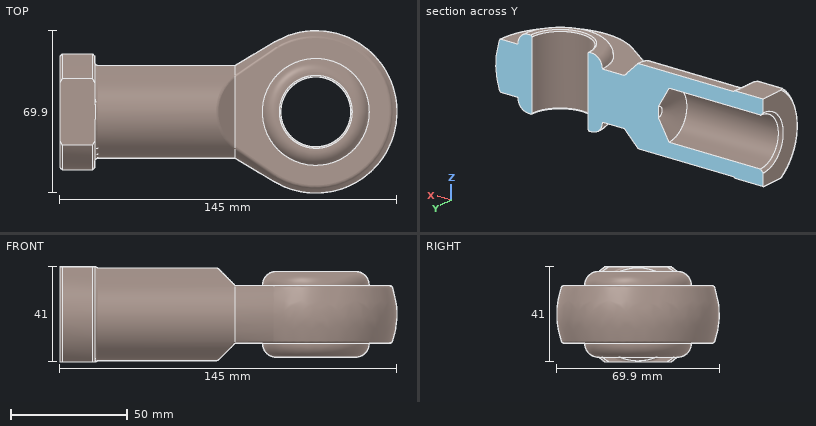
import cadquery as cq
import math

EYE_TO_END = 110.0
EYE_RADIUS = 35.0
EYE_THICKNESS = 25.0
EYE_CROWN = 2.3
FACE_EDGE_FILLET = 1.5

SHANK_DIAMETER = 40.0
SHANK_END_X = -34.7
SHOULDER_ANGLE = 45.0

COLLAR_DIAMETER = 50.0
COLLAR_LENGTH = 15.0
COLLAR_FLATS = 41.0
COLLAR_CHAMFER = 1.0
COLLAR_ROOT_FILLET = 1.4

BORE_DIAMETER = 25.0
BORE_MOUTH_DIAMETER = 28.0
BORE_DEPTH = 51.0
BORE_TIP_DIAMETER = 5.0
BORE_TIP_ANGLE = 120.0

RING_DIAMETER = 46.0
RING_WIDTH = 37.0
RING_BORE_DIAMETER = 30.0
RING_BORE_CHAMFER = 0.7

TOLERANCE = 0.001

EYE_HALF = EYE_THICKNESS / 2
RIM_RADIUS = EYE_RADIUS - EYE_CROWN
SHANK_RADIUS = SHANK_DIAMETER / 2
SHOULDER_RUN = (SHANK_RADIUS - EYE_HALF) / math.tan(math.radians(SHOULDER_ANGLE))
SHOULDER_START_X = SHANK_END_X - SHOULDER_RUN
COLLAR_RADIUS = COLLAR_DIAMETER / 2
BORE_RADIUS = BORE_DIAMETER / 2
END_X = -EYE_TO_END
COLLAR_INNER_X = END_X + COLLAR_LENGTH
RING_HALF = RING_WIDTH / 2
RING_EDGE_RADIUS = RING_HALF - EYE_HALF

CORNER_DISTANCE = math.hypot(SHANK_END_X, SHANK_RADIUS)
CORNER_ANGLE = math.atan2(SHANK_RADIUS, SHANK_END_X)
TANGENT_ANGLE = CORNER_ANGLE - math.acos(EYE_RADIUS / CORNER_DISTANCE)
TANGENT_X = EYE_RADIUS * math.cos(TANGENT_ANGLE)


def make_head():
    """Crowned disc, cut off square where the flanks touch its rim."""
    disc = (
        cq.Workplane("XZ")
        .moveTo(0, -EYE_HALF)
        .lineTo(RIM_RADIUS, -EYE_HALF)
        .threePointArc((EYE_RADIUS, 0), (RIM_RADIUS, EYE_HALF))
        .lineTo(0, EYE_HALF)
        .close()
        .revolve(360, (0, 0, 0), (0, 1, 0))
    )
    kept_length = EYE_RADIUS - TANGENT_X
    kept_side = (
        cq.Workplane("XY")
        .box(kept_length, 2 * EYE_RADIUS, EYE_THICKNESS, centered=(False, True, True))
        .translate((TANGENT_X, 0, 0))
    )
    return disc.intersect(kept_side)


def make_flanks(head):
    """Straight-ruled blend from the cut face of the head to the round shank."""
    shank_edge = math.sqrt(SHANK_RADIUS**2 - EYE_HALF**2)
    shank_section = (
        cq.Workplane("YZ")
        .workplane(offset=SHANK_END_X)
        .moveTo(-shank_edge, -EYE_HALF)
        .lineTo(shank_edge, -EYE_HALF)
        .threePointArc((SHANK_RADIUS, 0), (shank_edge, EYE_HALF))
        .lineTo(-shank_edge, EYE_HALF)
        .threePointArc((-SHANK_RADIUS, 0), (-shank_edge, -EYE_HALF))
        .close()
    )
    head_section = head.faces("<X").val().outerWire()
    return cq.Workplane(cq.Solid.makeLoft([head_section, shank_section.val()], True))


def make_shank():
    """Round bar whose end slopes down to the eye faces above and below."""
    bar = cq.Workplane("YZ").workplane(offset=END_X).circle(SHANK_RADIUS).extrude(SHANK_END_X - END_X)
    side_outline = (
        cq.Workplane("XZ")
        .polyline([
            (END_X, -SHANK_RADIUS),
            (SHOULDER_START_X, -SHANK_RADIUS),
            (SHANK_END_X, -EYE_HALF),
            (SHANK_END_X, EYE_HALF),
            (SHOULDER_START_X, SHANK_RADIUS),
            (END_X, SHANK_RADIUS),
        ])
        .close()
        .extrude(SHANK_RADIUS, both=True)
    )
    return bar.intersect(side_outline)


def make_collar():
    """Chamfered collar with a concave rounding to the shank and two wrench flats."""
    disc = (
        cq.Workplane("YZ")
        .workplane(offset=END_X)
        .circle(COLLAR_RADIUS)
        .extrude(COLLAR_LENGTH)
        .edges()
        .chamfer(COLLAR_CHAMFER)
    )

    root_radius = SHANK_RADIUS + COLLAR_ROOT_FILLET
    root_end_x = COLLAR_INNER_X + COLLAR_ROOT_FILLET
    root = (
        cq.Workplane("XY")
        .moveTo(COLLAR_INNER_X, 0)
        .lineTo(COLLAR_INNER_X, root_radius)
        .radiusArc((root_end_x, SHANK_RADIUS), -COLLAR_ROOT_FILLET)
        .lineTo(root_end_x, 0)
        .close()
        .revolve(360, (0, 0, 0), (1, 0, 0))
    )

    flats = (
        cq.Workplane("XY")
        .box(root_end_x - END_X, COLLAR_DIAMETER, COLLAR_FLATS, centered=(False, True, True))
        .translate((END_X, 0, 0))
    )
    return disc.union(root).intersect(flats)


def make_shank_bore():
    """Blind bore from the open end, with a chamfered mouth and a truncated conical bottom."""
    mouth_radius = BORE_MOUTH_DIAMETER / 2
    tip_radius = BORE_TIP_DIAMETER / 2
    cone_length = (BORE_RADIUS - tip_radius) / math.tan(math.radians(BORE_TIP_ANGLE / 2))
    bottom_x = END_X + BORE_DEPTH
    return (
        cq.Workplane("XY")
        .polyline([
            (END_X, 0),
            (END_X, mouth_radius),
            (END_X + mouth_radius - BORE_RADIUS, BORE_RADIUS),
            (bottom_x, BORE_RADIUS),
            (bottom_x + cone_length, tip_radius),
            (bottom_x + cone_length, 0),
        ])
        .close()
        .revolve(360, (0, 0, 0), (1, 0, 0))
    )


def make_ring():
    """Inner ring standing proud of both eye faces, with fully rounded outer edges."""
    return (
        cq.Workplane("XY")
        .circle(RING_DIAMETER / 2)
        .extrude(RING_HALF, both=True)
        .faces("|Z")
        .edges()
        .fillet(RING_EDGE_RADIUS)
    )


def make_ring_bore():
    """Through bore of the ring with a chamfer at each mouth."""
    radius = RING_BORE_DIAMETER / 2
    mouth_radius = radius + RING_BORE_CHAMFER
    straight_half = RING_HALF - RING_BORE_CHAMFER
    return (
        cq.Workplane("XZ")
        .polyline([
            (0, -RING_HALF),
            (mouth_radius, -RING_HALF),
            (radius, -straight_half),
            (radius, straight_half),
            (mouth_radius, RING_HALF),
            (0, RING_HALF),
        ])
        .close()
        .revolve(360, (0, 0, 0), (0, 1, 0))
    )


def round_face_outlines(body):
    """Round the outline of both eye faces and of the shoulders leading up to them."""
    outline = []
    for edge in body.edges().vals():
        box = edge.BoundingBox()
        outside_faces = max(box.zmin, -box.zmax) > EYE_HALF - TOLERANCE
        if outside_faces and edge.geomType() != "LINE":
            outline.append(edge)
    return body.newObject(outline).fillet(FACE_EDGE_FILLET)


head = make_head()
body = head.union(make_flanks(head)).union(make_shank())
body = round_face_outlines(body)
body = body.union(make_collar()).union(make_ring())
result = body.cut(make_shank_bore()).cut(make_ring_bore())